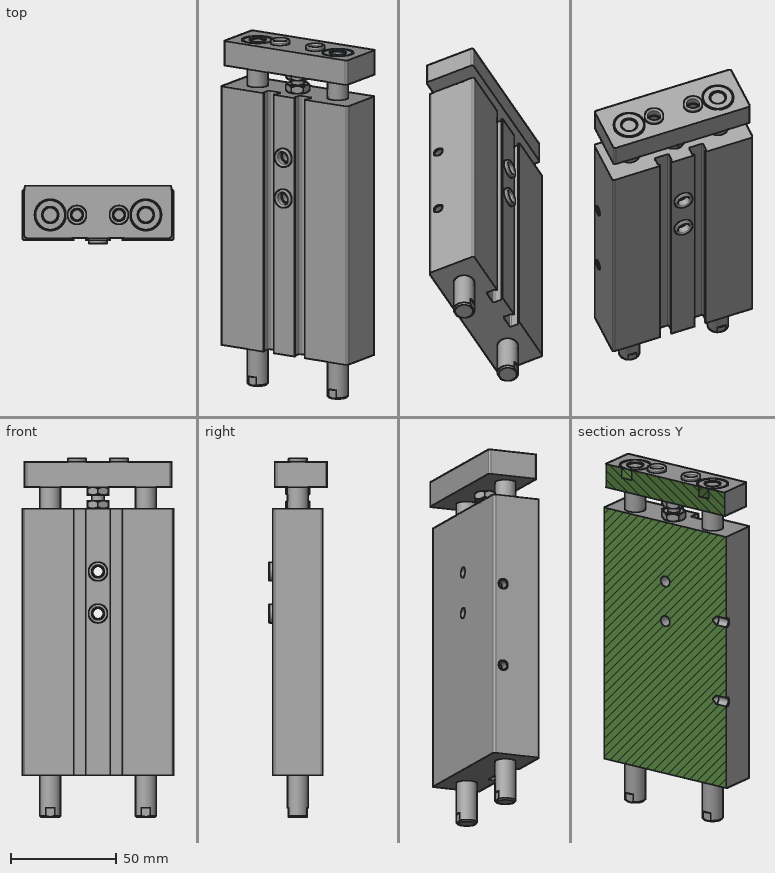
import cadquery as cq
import math


housing_width = 72.0
housing_depth = 24.0
housing_height = 127.0
housing_front = -housing_depth / 2
edge_radius = 1.0

yoke_width = 70.0
yoke_depth = 25.0
yoke_thickness = 12.0
yoke_setback = 1.0
yoke_gap = 10.2
yoke_bottom = housing_height + yoke_gap
yoke_top = yoke_bottom + yoke_thickness

rod_diameter = 10.0
rod_spacing = 45.5
rod_overhang = 20.0
rod_chamfer = 0.8
rod_flats_width = 9.0
rod_flats_height = 4.5
rod_x_positions = (-rod_spacing / 2, rod_spacing / 2)
head_diameter = 15.0
head_height = 5.0
head_chamfer = 0.5
socket_diameter = 8.0
socket_chamfer = 0.5

piston_rod_diameter = 6.0
piston_rod_engagement = 20.0
nut_across_flats = 10.0
nut_across_corners = nut_across_flats / math.cos(math.pi / 6)
nut_chamfer = 0.8
nut_thickness = 3.8

sleeve_diameter = 9.0
sleeve_bore = 6.0
sleeve_protrusion = 1.8
sleeve_recess = 2.2
screw_hole_diameter = 5.0
yoke_screw_hole_depth = 10.0
yoke_sleeve_x_positions = (-10.0, 10.0)
housing_sleeve_z_positions = (housing_height - 30.0, housing_height - 50.0)

slot_x_positions = (-8.8, 8.8)
slot_mouth_width = 5.7
slot_inner_width = 7.2
slot_lip_thickness = 0.8
slot_depth = 5.4
slot_corner_radius = 0.7

port_diameter = 4.13
port_mouth_diameter = 4.92
port_mouth_depth = (port_mouth_diameter - port_diameter) / 2
port_depth = 6.0
port_point_height = port_diameter / 2
port_y = 7.0
port_z_positions = (housing_height - 43.5, housing_height - 83.5)


def cylinder(diameter, length, base, direction):
    return cq.Workplane(cq.Solid.makeCylinder(diameter / 2, length, cq.Vector(*base), cq.Vector(*direction)))


def cone(start_diameter, end_diameter, length, base, direction):
    solid = cq.Solid.makeCone(
        start_diameter / 2, end_diameter / 2, length, cq.Vector(*base), cq.Vector(*direction)
    )
    return cq.Workplane(solid)


def make_sensor_slot(x):
    inner_depth = slot_depth - slot_lip_thickness
    inner = cq.Workplane().box(slot_inner_width, inner_depth, housing_height, centered=(True, False, False))
    inner = inner.edges("|Z").fillet(slot_corner_radius).translate((0, slot_lip_thickness, 0))
    mouth = cq.Workplane().box(slot_mouth_width, slot_depth, housing_height, centered=(True, False, False))
    return inner.union(mouth).translate((x, housing_front, 0))


def make_port(z):
    inward = (1, 0, 0)
    side = -housing_width / 2
    bore = cylinder(port_diameter, port_depth, (side, port_y, z), inward)
    mouth = cone(port_mouth_diameter, port_diameter, port_mouth_depth, (side, port_y, z), inward)
    point = cone(port_diameter, 0, port_point_height, (side + port_depth, port_y, z), inward)
    return bore.union(mouth).union(point)


def make_housing():
    body = cq.Workplane().box(housing_width, housing_depth, housing_height, centered=(True, True, False))
    body = body.edges("|Z").fillet(edge_radius)
    for x in slot_x_positions:
        body = body.cut(make_sensor_slot(x))
    for x in rod_x_positions:
        body = body.cut(cylinder(rod_diameter, housing_height, (x, 0, 0), (0, 0, 1)))
    body = body.cut(cylinder(piston_rod_diameter, piston_rod_engagement, (0, 0, housing_height), (0, 0, -1)))
    for z in housing_sleeve_z_positions:
        body = body.cut(cylinder(screw_hole_diameter, housing_depth, (0, housing_front, z), (0, 1, 0)))
        body = body.cut(cylinder(sleeve_diameter, sleeve_recess, (0, housing_front, z), (0, 1, 0)))
    for z in port_z_positions:
        body = body.cut(make_port(z))
    return body


def make_nut(base_z):
    """Hexagon nut with two corners on the Y axis; the corners are turned off at 45 degrees at both ends."""
    hexagon = cq.Workplane().polygon(6, nut_across_corners).extrude(nut_thickness)
    nut = hexagon.rotate((0, 0, 0), (0, 0, 1), 90)
    envelope = cylinder(nut_across_corners, nut_thickness, (0, 0, 0), (0, 0, 1))
    envelope = envelope.edges("%CIRCLE").chamfer(nut_chamfer)
    return nut.intersect(envelope).translate((0, 0, base_z))


def make_yoke():
    """Yoke plate together with the piston rod and lock nuts fixed to it."""
    plate = cq.Workplane().box(yoke_width, yoke_depth, yoke_thickness, centered=(True, False, False))
    plate = plate.edges("|Z").fillet(edge_radius)
    body = plate.translate((0, housing_front + yoke_setback, yoke_bottom))
    piston_rod_length = piston_rod_engagement + yoke_gap
    body = body.union(cylinder(piston_rod_diameter, piston_rod_length, (0, 0, yoke_bottom), (0, 0, -1)))
    body = body.union(make_nut(yoke_bottom - nut_thickness))
    body = body.union(make_nut(housing_height))
    for x in rod_x_positions:
        body = body.cut(cylinder(rod_diameter, yoke_thickness, (x, 0, yoke_bottom), (0, 0, 1)))
        body = body.cut(cylinder(head_diameter, head_height, (x, 0, yoke_top), (0, 0, -1)))
    for x in yoke_sleeve_x_positions:
        body = body.cut(cylinder(screw_hole_diameter, yoke_screw_hole_depth, (x, 0, yoke_top), (0, 0, -1)))
        body = body.cut(cylinder(sleeve_diameter, sleeve_recess, (x, 0, yoke_top), (0, 0, -1)))
    return body


def make_guide_rod(x):
    rod = cylinder(rod_diameter, yoke_top + rod_overhang, (0, 0, -rod_overhang), (0, 0, 1))
    rod = rod.faces("<Z").chamfer(rod_chamfer)
    flats = cq.Workplane().box(rod_diameter, rod_flats_width, rod_flats_height, centered=(True, True, False))
    blank = cq.Workplane().box(rod_diameter, rod_diameter, rod_flats_height, centered=(True, True, False))
    rod = rod.cut(blank.cut(flats).translate((0, 0, -rod_overhang)))
    head = cylinder(head_diameter, head_height, (0, 0, yoke_top), (0, 0, -1))
    head = head.faces(">Z").chamfer(head_chamfer)
    socket_floor = socket_diameter - 2 * socket_chamfer
    socket = cone(socket_diameter, socket_floor, socket_chamfer, (0, 0, yoke_top), (0, 0, -1))
    return rod.union(head).cut(socket).translate((x, 0, 0))


def make_sleeve():
    """Sleeve on the Z axis with its seat plane at z = 0 and a fully rounded upper end."""
    inner_radius = sleeve_bore / 2
    outer_radius = sleeve_diameter / 2
    tip_radius = (outer_radius - inner_radius) / 2
    rounding_start = sleeve_protrusion - tip_radius
    wall = (
        cq.Workplane("XZ")
        .moveTo(inner_radius, -sleeve_recess)
        .lineTo(outer_radius, -sleeve_recess)
        .lineTo(outer_radius, rounding_start)
        .threePointArc((inner_radius + tip_radius, sleeve_protrusion), (inner_radius, rounding_start))
        .close()
    )
    return wall.revolve(360, (0, 0, 0), (0, 1, 0))


def make_yoke_sleeve(x):
    return make_sleeve().translate((x, 0, yoke_top))


def make_housing_sleeve(z):
    facing_front = make_sleeve().rotate((0, 0, 0), (1, 0, 0), 90)
    return facing_front.translate((0, housing_front, z))


housing = make_housing()
yoke = make_yoke()
guide_rods = [make_guide_rod(x) for x in rod_x_positions]
yoke_sleeves = [make_yoke_sleeve(x) for x in yoke_sleeve_x_positions]
housing_sleeves = [make_housing_sleeve(z) for z in housing_sleeve_z_positions]

bodies = [housing, yoke] + guide_rods + yoke_sleeves + housing_sleeves
result = cq.Compound.makeCompound([body.solids().val() for body in bodies])